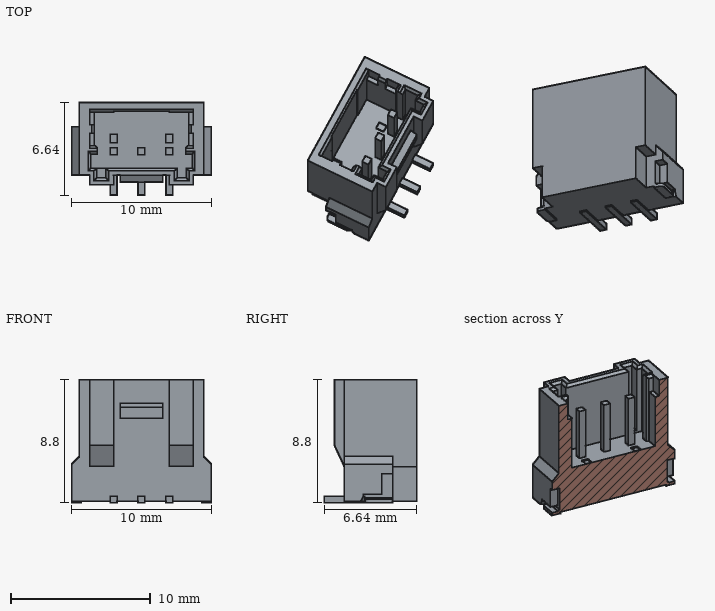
import cadquery as cq


OVERLAP = 0.2

TOP = 8.8
UNDERSIDE = 0.1
BACK = 3.5
FRONT = -1.7
HALF_WIDTH = 4.45
FOOT_HALF_WIDTH = 3.7
FOOT_TOP = 2.57

FLANGE_HALF_WIDTH = 5.0
FLANGE_BACK = 1.76
FLANGE_SHOULDER = 2.77
FLANGE_TOP = FLANGE_SHOULDER + FLANGE_HALF_WIDTH - HALF_WIDTH

POST_INNER = 2.0
POST_OUTER = 3.7
POST_FRONT = -2.4
POST_SLOPE_TOP = 4.1
POST_SLOPE_BOTTOM = 2.6

LATCH_HALF_WIDTH = 1.53
LATCH_FRONT = FRONT - 0.5
LATCH_BOTTOM = 6.05
LATCH_EDGE = 6.83
LATCH_TOP = 7.1

LEAD_IN = 0.2
MOUTH_EDGE = TOP - LEAD_IN
FLOOR = 3.5
CAVITY_BACK = 2.8
CAVITY_FRONT = -1.2
REAR_HALF_WIDTH = 3.37
FRONT_HALF_WIDTH = 3.62
GUIDE_HALF_GAP = 3.17
GUIDE_BACK = 0.4
GUIDE_FRONT = -0.2
GUIDE_CORNER = 0.14
GROOVE_INNER = 2.55
GROOVE_OUTER = 3.2
GROOVE_FRONT = -1.9
KEY_STEP = 0.2

MOUTH_HALF_WIDTH = 3.7
MOUTH_SHELF = 7.5
RIB_BACK = 1.9
RIB_FRONT = 1.3

BACK_RECESS_HALF_WIDTH = 2.0
BACK_RECESS_DEPTH = 0.06
MARK_WIDTH = 0.5
MARK_LENGTH = 0.6
MARK_Y = 0.9
MARK_DEPTH = 0.1

PIN_COUNT = 3
PIN_PITCH = 2.0
PIN_SIZE = 0.5
PIN_FOOT_HEIGHT = 0.48
PIN_TOP = 7.3
PIN_FOOT_END = -3.14

POCKET_FACE = 4.4
POCKET_STEP_Y = 0.97
POCKET_TOP = 2.06
POCKET_LOW_TOP = 0.6
POCKET_END_Y = -0.33
POCKET_NECK_TOP = 0.45
POCKET_NECK_Y = -0.23
POCKET_FLARE_END_Y = -0.52
TAB_INNER = 4.3
TAB_FRONT = -0.21
TAB_THICKNESS = 0.25
TAB_CORNER_RADIUS = 0.28
TAB_BEND = 0.12


def block(x0, x1, y0, y1, z0, z1):
    """Axis-aligned box between two corners."""
    return cq.Workplane("XY").box(x1 - x0, y1 - y0, z1 - z0, centered=False).translate((x0, y0, z0))


def wide_block(half_width, y0, y1, z0, z1):
    """Box symmetric about x = 0."""
    return block(-half_width, half_width, y0, y1, z0, z1)


def prism_along_x(yz_points, x0, x1):
    return cq.Workplane("YZ").polyline(yz_points).close().extrude(x1 - x0).translate((x0, 0, 0))


def prism_along_y(xz_points, y0, y1):
    return cq.Workplane("XZ").polyline(xz_points).close().extrude(y0 - y1).translate((0, y0, 0))


def mirrored(shape):
    """The shape together with its mirror image across x = 0."""
    return shape.union(shape.mirror("YZ"))


def symmetric_outline(right_points):
    """Full outline from the points of its +X half, listed from top to bottom."""
    left_points = [(-x, height) for x, height in reversed(right_points)]
    return right_points + left_points


def make_shell():
    upper = wide_block(HALF_WIDTH, FRONT, BACK, FOOT_TOP, TOP)
    foot = wide_block(FOOT_HALF_WIDTH, FRONT, BACK, UNDERSIDE, FOOT_TOP + OVERLAP)
    flange_outline = symmetric_outline([
        (HALF_WIDTH, FLANGE_TOP),
        (FLANGE_HALF_WIDTH, FLANGE_SHOULDER),
        (FLANGE_HALF_WIDTH, UNDERSIDE),
    ])
    flanges = prism_along_y(flange_outline, FRONT, FLANGE_BACK)
    return upper.union(foot).union(flanges)


def make_key_posts():
    profile = [
        (FRONT + OVERLAP, TOP),
        (POST_FRONT, TOP),
        (POST_FRONT, POST_SLOPE_TOP),
        (FRONT, POST_SLOPE_BOTTOM),
        (FRONT + OVERLAP, POST_SLOPE_BOTTOM),
    ]
    return mirrored(prism_along_x(profile, POST_INNER, POST_OUTER))


def make_latch():
    profile = [
        (FRONT + OVERLAP, LATCH_TOP),
        (FRONT, LATCH_TOP),
        (LATCH_FRONT, LATCH_EDGE),
        (LATCH_FRONT, LATCH_BOTTOM),
        (FRONT + OVERLAP, LATCH_BOTTOM),
    ]
    return prism_along_x(profile, -LATCH_HALF_WIDTH, LATCH_HALF_WIDTH)


def front_outline(flare):
    """+X half of the front room and its key groove, widened outward by the flare."""
    return [
        (FRONT_HALF_WIDTH + flare, GUIDE_FRONT + flare),
        (FRONT_HALF_WIDTH + flare, CAVITY_FRONT - flare),
        (GROOVE_OUTER + flare, CAVITY_FRONT - flare),
        (GROOVE_OUTER + flare, GROOVE_FRONT - flare),
        (GROOVE_INNER - flare, GROOVE_FRONT - flare),
        (GROOVE_INNER - flare, CAVITY_FRONT - flare),
    ]


def make_main_cavity():
    """Full-depth cavity: rear room, guide-rib necks, front room and both key grooves."""
    front_room = front_outline(0)
    rear_room = [
        (REAR_HALF_WIDTH, CAVITY_BACK),
        (REAR_HALF_WIDTH, GUIDE_BACK),
        (GUIDE_HALF_GAP + GUIDE_CORNER, GUIDE_BACK),
        (GUIDE_HALF_GAP, GUIDE_BACK - GUIDE_CORNER),
        (GUIDE_HALF_GAP, GUIDE_FRONT),
    ]
    cavity_outline = symmetric_outline(rear_room + front_room)
    cavity = cq.Workplane("XY").workplane(offset=FLOOR).polyline(cavity_outline).close().extrude(TOP - FLOOR)
    lead_in = (
        cq.Workplane("XY")
        .workplane(offset=MOUTH_EDGE)
        .polyline(symmetric_outline(front_room))
        .close()
        .workplane(offset=LEAD_IN)
        .polyline(symmetric_outline(front_outline(LEAD_IN)))
        .close()
        .loft(ruled=True)
    )
    key_step = block(-GROOVE_OUTER, -GROOVE_INNER, GROOVE_FRONT, CAVITY_FRONT, FLOOR, FLOOR + KEY_STEP)
    return cavity.union(lead_in).cut(key_step)


def make_rear_mouth():
    """Wider upper part of the rear room, flared at back and front, less its side ribs."""
    profile = [
        (GUIDE_BACK, MOUTH_SHELF),
        (GUIDE_BACK, MOUTH_EDGE),
        (GUIDE_BACK - LEAD_IN, TOP),
        (CAVITY_BACK + LEAD_IN, TOP),
        (CAVITY_BACK, MOUTH_EDGE),
        (CAVITY_BACK, MOUTH_SHELF),
    ]
    mouth = prism_along_x(profile, -MOUTH_HALF_WIDTH, MOUTH_HALF_WIDTH)
    rib_profile = [
        (REAR_HALF_WIDTH, MOUTH_SHELF),
        (REAR_HALF_WIDTH, MOUTH_EDGE),
        (REAR_HALF_WIDTH + LEAD_IN, TOP),
        (MOUTH_HALF_WIDTH, TOP),
        (MOUTH_HALF_WIDTH, MOUTH_SHELF),
    ]
    return mouth.cut(mirrored(prism_along_y(rib_profile, RIB_FRONT, RIB_BACK)))


def make_wall_and_floor_recesses():
    back_recess = wide_block(
        BACK_RECESS_HALF_WIDTH, CAVITY_BACK - OVERLAP, CAVITY_BACK + BACK_RECESS_DEPTH, FLOOR, TOP
    )
    mark_center = PIN_PITCH * (PIN_COUNT - 1) / 2
    mark = block(
        mark_center - MARK_WIDTH / 2,
        mark_center + MARK_WIDTH / 2,
        MARK_Y - MARK_LENGTH / 2,
        MARK_Y + MARK_LENGTH / 2,
        FLOOR - MARK_DEPTH,
        FLOOR + OVERLAP,
    )
    return back_recess.union(mirrored(mark))


def make_tab_pockets():
    """L-shaped side pockets whose lower front end flares outward and downward."""
    profile = [
        (FLANGE_BACK + OVERLAP, POCKET_TOP),
        (POCKET_STEP_Y, POCKET_TOP),
        (POCKET_STEP_Y, POCKET_LOW_TOP),
        (POCKET_END_Y, POCKET_LOW_TOP),
        (POCKET_END_Y, POCKET_NECK_TOP),
        (POCKET_NECK_Y, POCKET_NECK_TOP),
        (POCKET_NECK_Y, UNDERSIDE),
        (FLANGE_BACK + OVERLAP, UNDERSIDE),
    ]
    pocket = prism_along_x(profile, POCKET_FACE, FLANGE_HALF_WIDTH + OVERLAP)
    flare_root_y = POCKET_NECK_Y + OVERLAP
    inner_end = [
        (flare_root_y, POCKET_NECK_TOP),
        (POCKET_NECK_Y, POCKET_NECK_TOP),
        (POCKET_NECK_Y, UNDERSIDE),
        (flare_root_y, UNDERSIDE),
    ]
    outer_end = [
        (flare_root_y, POCKET_NECK_TOP),
        (POCKET_END_Y, POCKET_NECK_TOP),
        (POCKET_FLARE_END_Y, UNDERSIDE),
        (flare_root_y, UNDERSIDE),
    ]
    flare = (
        cq.Workplane("YZ")
        .workplane(offset=POCKET_FACE)
        .polyline(inner_end)
        .close()
        .workplane(offset=FLANGE_HALF_WIDTH - POCKET_FACE)
        .polyline(outer_end)
        .close()
        .loft(ruled=True)
    )
    return mirrored(pocket.union(flare))


def make_solder_tabs():
    """Flat tabs on the board plane with rounded outer corners and a small bevel at the bend."""
    plate = block(TAB_INNER, FLANGE_HALF_WIDTH, TAB_FRONT, FLANGE_BACK, 0, TAB_THICKNESS)
    plate = plate.edges("|Z and >X").fillet(TAB_CORNER_RADIUS)
    bend_profile = [
        (TAB_INNER, TAB_THICKNESS),
        (POCKET_FACE + TAB_BEND, TAB_THICKNESS),
        (POCKET_FACE, TAB_THICKNESS + TAB_BEND),
        (TAB_INNER, TAB_THICKNESS + TAB_BEND),
    ]
    bend = prism_along_y(bend_profile, TAB_FRONT, FLANGE_BACK)
    return mirrored(plate.union(bend))


def make_contact(x):
    """L-shaped contact: upright pin and a foot along the board."""
    half = PIN_SIZE / 2
    upright = block(x - half, x + half, -half, half, 0, PIN_TOP)
    foot = block(x - half, x + half, PIN_FOOT_END, half, 0, PIN_FOOT_HEIGHT)
    return upright.union(foot)


housing = make_shell().union(make_key_posts()).union(make_latch())
for cutter in (make_main_cavity(), make_rear_mouth(), make_wall_and_floor_recesses(), make_tab_pockets()):
    housing = housing.cut(cutter)

result = housing.union(make_solder_tabs())
for index in range(PIN_COUNT):
    result = result.union(make_contact((index - (PIN_COUNT - 1) / 2) * PIN_PITCH))